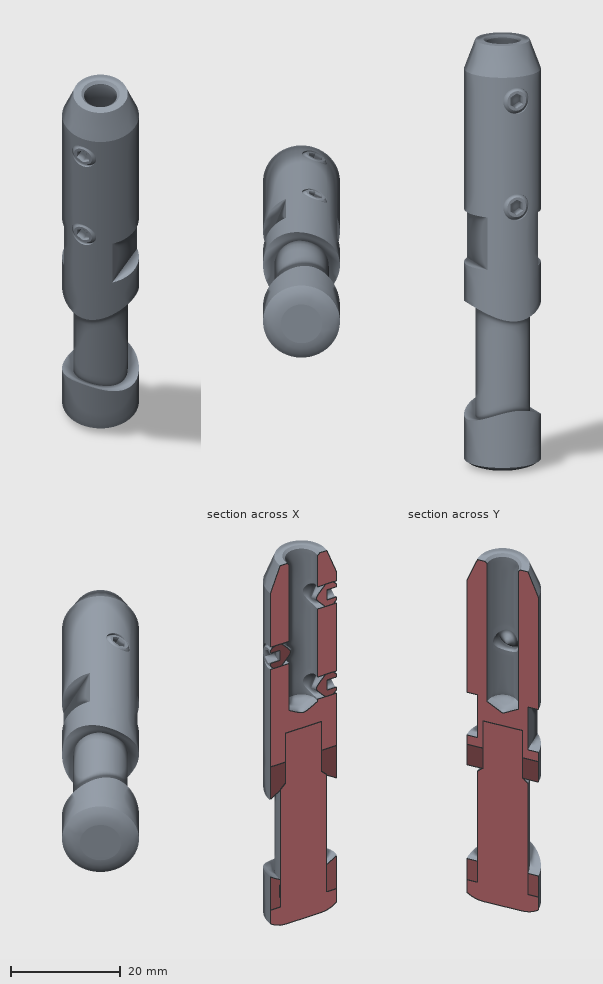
import cadquery as cq
import math

TOTAL_LENGTH = 80.2
BODY_DIAMETER = 14.0
BODY_RADIUS = BODY_DIAMETER / 2
STEM_RADIUS = 5.0

END_FLAT_RADIUS = 3.8
END_ROUND_HEIGHT = 1.2

FLANGE_TOP = 4.3
HOUSING_BOTTOM = 36.2

NOTCH_RADIUS = 11.0
NOTCH_HEIGHT = (FLANGE_TOP + HOUSING_BOTTOM) / 2

SHOULDER_START = 30.4
SHOULDER_CHAMFER = 1.05
SPIGOT_RADIUS = STEM_RADIUS - SHOULDER_CHAMFER
SPIGOT_DEPTH = 6.4
SPIGOT_TOP = HOUSING_BOTTOM + SPIGOT_DEPTH

NOSE_RADIUS = STEM_RADIUS
NOSE_LENGTH = 5.45
BORE_DIAMETER = 6.0
BORE_RADIUS = BORE_DIAMETER / 2
BORE_CHAMFER = 0.5
BORE_DEPTH = 32.9
DRILL_POINT_ANGLE = 118.0

FLAT_DISTANCE = STEM_RADIUS
FLAT_HEIGHT = 9.95
FLAT_BOTTOM = 38.3

SCREW_RADIUS = 2.5
SCREW_LENGTH = 5.0
SCREW_CHAMFER = 0.65
SOCKET_SIDES = 6
SOCKET_WIDTH = 2.5
SOCKET_DEPTH = 2.0
SCREW_SPACING = 20.05
MIDDLE_SCREW_HEIGHT = 60.2
FRONT_TURN = 0.0
BACK_TURN = 180.0
SCREW_PLACES = [
    (MIDDLE_SCREW_HEIGHT - SCREW_SPACING / 2, FRONT_TURN),
    (MIDDLE_SCREW_HEIGHT, BACK_TURN),
    (MIDDLE_SCREW_HEIGHT + SCREW_SPACING / 2, FRONT_TURN),
]


def cylinder(radius, bottom, top):
    """A cylinder on the rod axis between two heights."""
    return cq.Workplane("XY").workplane(offset=bottom).circle(radius).extrude(top - bottom)


def place_on_side(shape, height, turn):
    """Move a shape that points toward -Y to a height and turn it about the rod axis."""
    return shape.rotate((0, 0, 0), (0, 0, 1), turn).translate((0, 0, height))


def make_stem():
    """Flange with a rounded end, long shaft, chamfered shoulder and spigot, revolved as one piece."""
    round_width = BODY_RADIUS - END_FLAT_RADIUS
    round_radius = (round_width**2 + END_ROUND_HEIGHT**2) / (2 * END_ROUND_HEIGHT)
    middle_width = round_width / 2
    middle_height = round_radius - math.sqrt(round_radius**2 - middle_width**2)
    return (
        cq.Workplane("XZ")
        .moveTo(0, 0)
        .lineTo(END_FLAT_RADIUS, 0)
        .threePointArc(
            (END_FLAT_RADIUS + middle_width, middle_height), (BODY_RADIUS, END_ROUND_HEIGHT)
        )
        .lineTo(BODY_RADIUS, FLANGE_TOP)
        .lineTo(STEM_RADIUS, FLANGE_TOP)
        .lineTo(STEM_RADIUS, SHOULDER_START)
        .lineTo(SPIGOT_RADIUS, SHOULDER_START + SHOULDER_CHAMFER)
        .lineTo(SPIGOT_RADIUS, SPIGOT_TOP)
        .lineTo(0, SPIGOT_TOP)
        .close()
        .revolve(360, (0, 0), (0, 1))
    )


def make_collar(bottom, top, stem):
    """Ring around the stem, with the end that faces the other collar hollowed by the cross notch."""
    notch = (
        cq.Workplane("YZ")
        .center(0, NOTCH_HEIGHT)
        .circle(NOTCH_RADIUS)
        .extrude(BODY_DIAMETER, both=True)
    )
    return cylinder(BODY_RADIUS, bottom, top).cut(notch).cut(stem)


def make_bore():
    """Blind bore with a chamfered mouth and a conical drill point."""
    straight_end = TOTAL_LENGTH - BORE_DEPTH
    point_length = BORE_RADIUS / math.tan(math.radians(DRILL_POINT_ANGLE / 2))
    return (
        cq.Workplane("XZ")
        .moveTo(0, TOTAL_LENGTH)
        .lineTo(BORE_RADIUS + BORE_CHAMFER, TOTAL_LENGTH)
        .lineTo(BORE_RADIUS, TOTAL_LENGTH - BORE_CHAMFER)
        .lineTo(BORE_RADIUS, straight_end)
        .lineTo(0, straight_end - point_length)
        .close()
        .revolve(360, (0, 0), (0, 1))
    )


def make_wrench_flats():
    """The two blocks to remove beside the wrench flats."""
    block_depth = BODY_RADIUS - FLAT_DISTANCE
    return (
        cq.Workplane("XY")
        .workplane(offset=FLAT_BOTTOM)
        .pushPoints([(side * (FLAT_DISTANCE + block_depth / 2), 0) for side in (-1, 1)])
        .rect(block_depth, BODY_DIAMETER)
        .extrude(FLAT_HEIGHT)
    )


def make_housing():
    """Tapered tube with the stem socket, bore, wrench flats and screw holes."""
    housing = (
        cq.Workplane("XZ")
        .moveTo(0, HOUSING_BOTTOM)
        .lineTo(BODY_RADIUS, HOUSING_BOTTOM)
        .lineTo(BODY_RADIUS, TOTAL_LENGTH - NOSE_LENGTH)
        .lineTo(NOSE_RADIUS, TOTAL_LENGTH)
        .lineTo(0, TOTAL_LENGTH)
        .close()
        .revolve(360, (0, 0), (0, 1))
    )
    housing = housing.cut(cylinder(SPIGOT_RADIUS, HOUSING_BOTTOM, SPIGOT_TOP))
    housing = housing.cut(make_bore()).cut(make_wrench_flats())
    screw_hole = cq.Workplane("XZ").circle(SCREW_RADIUS).extrude(BODY_RADIUS)
    for height, turn in SCREW_PLACES:
        housing = housing.cut(place_on_side(screw_hole, height, turn))
    return housing


def make_set_screw(height, turn):
    """Cone-point set screw with a hexagon socket, its outer end level with the housing surface."""
    outer_end = -BODY_RADIUS
    blank = (
        cq.Workplane("XY")
        .moveTo(0, outer_end)
        .lineTo(SCREW_RADIUS - SCREW_CHAMFER, outer_end)
        .lineTo(SCREW_RADIUS, outer_end + SCREW_CHAMFER)
        .lineTo(SCREW_RADIUS, outer_end + SCREW_LENGTH - SCREW_RADIUS)
        .lineTo(0, outer_end + SCREW_LENGTH)
        .close()
        .revolve(360, (0, 0), (0, 1))
    )
    socket = (
        cq.Workplane("XZ", origin=(0, outer_end, 0))
        .polygon(SOCKET_SIDES, SOCKET_WIDTH, circumscribed=True)
        .extrude(-SOCKET_DEPTH)
    )
    return place_on_side(blank.cut(socket), height, turn)


stem = make_stem()
lower_collar = make_collar(FLANGE_TOP, NOTCH_HEIGHT, stem)
upper_collar = make_collar(NOTCH_HEIGHT, HOUSING_BOTTOM, stem)
housing = make_housing()
set_screws = [make_set_screw(height, turn).val() for height, turn in SCREW_PLACES]

result = cq.Compound.makeCompound(
    [stem.val(), lower_collar.val(), upper_collar.val(), housing.val(), *set_screws]
)